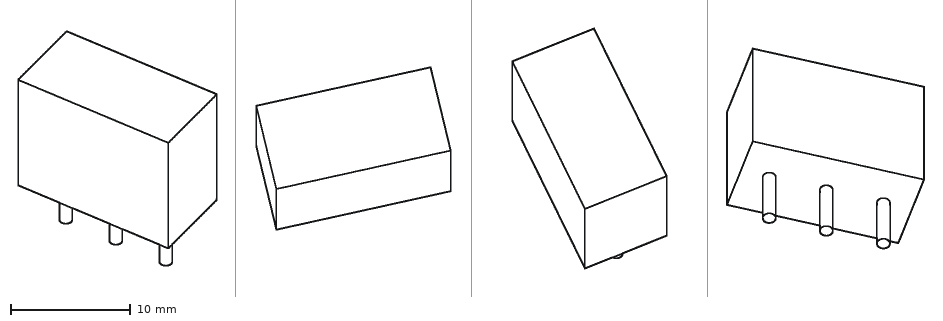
import cadquery as cq

total_height = 16.7
housing_length = 15.0
housing_depth = 7.5
pin_length = 5.1
pin_diameter = 1.1
pin_pitch = 5.0
pin_count = 3
pin_row_y = -0.25

housing_height = total_height - pin_length


def make_housing():
    """Plain block with its underside on Z = 0."""
    return cq.Workplane("XY").box(
        housing_length, housing_depth, housing_height, centered=(True, True, False)
    )


def make_pin(x):
    """Round pin hanging from the underside of the housing."""
    return cq.Workplane("XY").center(x, pin_row_y).circle(pin_diameter / 2).extrude(-pin_length)


housing = make_housing()

pins = []
for index in range(pin_count):
    pin_x = (index - (pin_count - 1) / 2) * pin_pitch
    pins.append(make_pin(pin_x))

result = cq.Compound.makeCompound([housing.val(), *[pin.val() for pin in pins]])